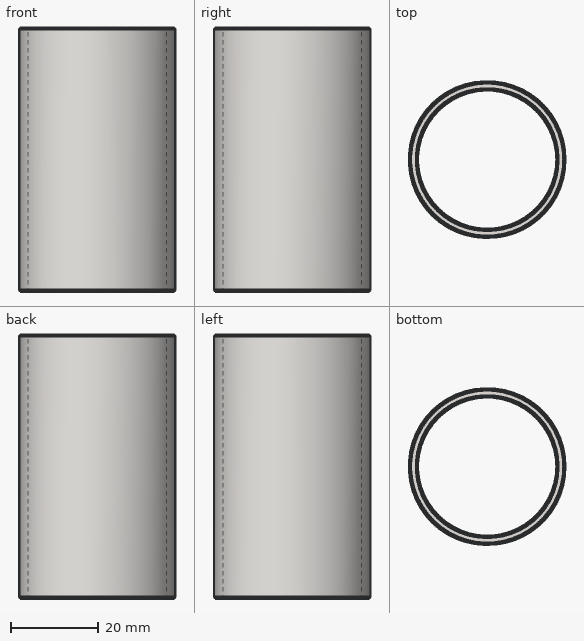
import cadquery as cq

length = 60.8
outer_diameter = 36.0
bore_diameter = 31.8
rim_chamfer = 0.5

sleeve = (
    cq.Workplane("XY")
    .circle(outer_diameter / 2)
    .circle(bore_diameter / 2)
    .extrude(length)
)

result = sleeve.faces("<Z or >Z").edges().chamfer(rim_chamfer)